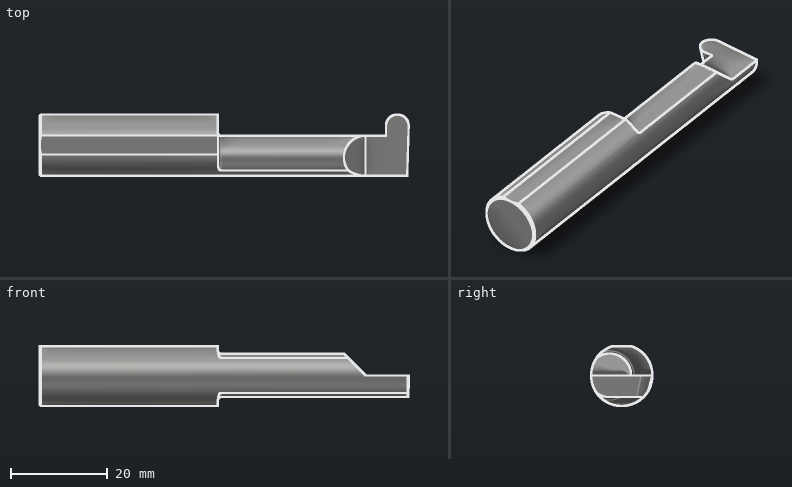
import cadquery as cq
import math


shank_radius = 6.35
shank_length = 36.8
shank_flat_height = 6.04
back_chamfer = 0.3

overall_length = 76.2
neck_radius = 4.5
neck_center_y = -2.55
neck_root_fillet = 0.6

cutting_face_z = 0.0
cutting_face_start = 67.3
ramp_angle = 45.0

nib_width = 4.76
nib_tip_y = 6.33
nib_relief_angle = 15.0
end_relief_angle = 1.7

nib_radius = nib_width / 2
nib_center_x = overall_length - nib_radius
nib_center_y = nib_tip_y - nib_radius

clearance = 1.0


def x_cylinder(radius, length):
    """Cylinder along the X axis, starting at X = 0."""
    return cq.Workplane("YZ").circle(radius).extrude(length)


def make_shank():
    """Round shank with a chamfered back end and a clamping flat on top."""
    shank = x_cylinder(shank_radius, shank_length).faces("<X").chamfer(back_chamfer)
    above_flat = (
        cq.Workplane("XY", origin=(0, 0, shank_flat_height))
        .rect(2 * (shank_length + clearance), 2 * shank_radius)
        .extrude(shank_radius)
    )
    return shank.cut(above_flat)


def make_neck():
    """Offset neck with a concave fillet flaring out at its root."""
    root_radius = neck_radius + neck_root_fillet
    fillet_end = shank_length + neck_root_fillet
    arc_offset = neck_root_fillet * (1 - math.sqrt(0.5))
    half_profile = (
        cq.Workplane("XY")
        .moveTo(shank_length, 0)
        .lineTo(shank_length, root_radius)
        .threePointArc((shank_length + arc_offset, neck_radius + arc_offset), (fillet_end, neck_radius))
        .lineTo(overall_length, neck_radius)
        .lineTo(overall_length, 0)
        .close()
    )
    return half_profile.revolve(360, (0, 0, 0), (1, 0, 0)).translate((0, neck_center_y, 0))


def make_nib():
    """Round-ended nib, as deep as the lower half of the neck, leaning back toward -Y as it goes down."""
    depth = neck_radius + cutting_face_z
    setback = depth * math.tan(math.radians(nib_relief_angle))
    root_y = neck_center_y + setback
    outline = (
        cq.Workplane("XY", origin=(0, 0, cutting_face_z))
        .moveTo(nib_center_x - nib_radius, root_y)
        .lineTo(nib_center_x - nib_radius, nib_center_y)
        .threePointArc((nib_center_x, nib_tip_y), (overall_length, nib_center_y))
        .lineTo(overall_length, root_y)
        .close()
    )
    lean = cq.Vector(0, -setback, -depth)
    return cq.Workplane(cq.Solid.extrudeLinear(outline.val(), [], lean))


def make_head_cutter():
    """Material removed above the cutting face and its ramp."""
    rise = shank_radius + clearance - cutting_face_z
    run = rise / math.tan(math.radians(ramp_angle))
    return (
        cq.Workplane("XZ")
        .moveTo(cutting_face_start, cutting_face_z)
        .lineTo(cutting_face_start - run, cutting_face_z + rise)
        .lineTo(overall_length + clearance, cutting_face_z + rise)
        .lineTo(overall_length + clearance, cutting_face_z)
        .close()
        .extrude(2 * shank_radius, both=True)
    )


def make_end_relief_cutter():
    """Wedge that leans the end face back, from the nib toward -Y."""
    relief_length = nib_center_y + shank_radius + clearance
    setback = relief_length * math.tan(math.radians(end_relief_angle))
    return (
        cq.Workplane("XY")
        .moveTo(overall_length, nib_center_y)
        .lineTo(overall_length - setback, nib_center_y - relief_length)
        .lineTo(overall_length + clearance, nib_center_y - relief_length)
        .lineTo(overall_length + clearance, nib_center_y)
        .close()
        .extrude(2 * shank_radius, both=True)
    )


envelope = x_cylinder(shank_radius, overall_length)
bar = make_neck().union(make_nib()).intersect(envelope)
bar = bar.cut(make_head_cutter()).cut(make_end_relief_cutter())
result = make_shank().union(bar)